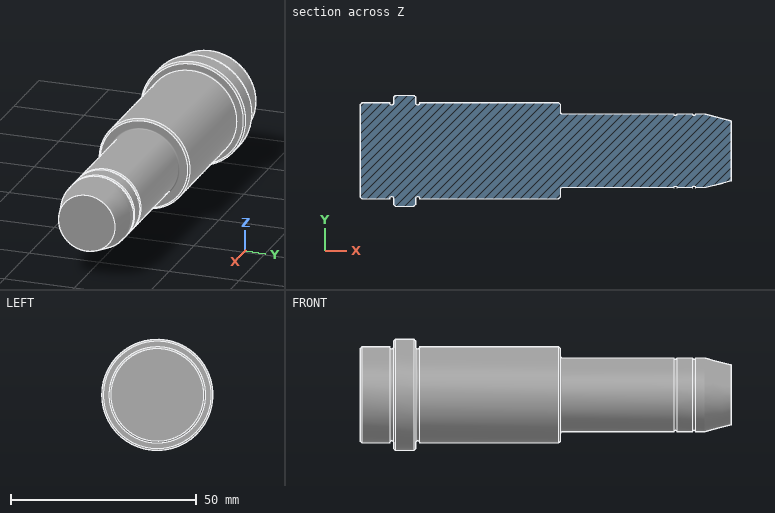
import cadquery as cq

length = 100.0
head_radius = 13.0
flange_radius = 15.0
pin_radius = 10.0

flange_start = 9.0
flange_end = 15.0
shoulder = 54.0

edge_chamfer = 0.5
undercut_width = 1.0
undercut_depth = 0.6
shoulder_fillet = 0.4

ring_groove_starts = (84.5, 89.5)
ring_groove_width = 0.9
ring_groove_depth = 0.4

taper_length = 7.2
tip_radius = 8.1


def cylinder(start, end, radius):
    """Solid cylinder on the X axis between two stations."""
    return cq.Workplane("YZ", origin=(start, 0, 0)).circle(radius).extrude(end - start)


def arc_groove(start, width, depth, radius):
    """Ring-shaped cutter with a circular-arc section sunk into a cylinder."""
    return (
        cq.Workplane("XY")
        .moveTo(start, radius)
        .threePointArc((start + width / 2, radius - depth), (start + width, radius))
        .close()
        .revolve(360, (0, 0, 0), (1, 0, 0))
    )


body = cylinder(0, shoulder, head_radius).edges().chamfer(edge_chamfer)
for start in (flange_start - undercut_width, flange_end):
    body = body.cut(arc_groove(start, undercut_width, undercut_depth, head_radius))

flange = cylinder(flange_start, flange_end, flange_radius).edges().chamfer(edge_chamfer)

taper_start = length - taper_length
pin = (
    cq.Workplane("XY")
    .moveTo(shoulder, 0)
    .lineTo(shoulder, pin_radius + shoulder_fillet)
    .radiusArc((shoulder + shoulder_fillet, pin_radius), -shoulder_fillet)
    .lineTo(taper_start, pin_radius)
    .lineTo(length, tip_radius)
    .lineTo(length, 0)
    .close()
    .revolve(360, (0, 0, 0), (1, 0, 0))
)
for start in ring_groove_starts:
    pin = pin.cut(arc_groove(start, ring_groove_width, ring_groove_depth, pin_radius))

result = body.union(flange).union(pin)